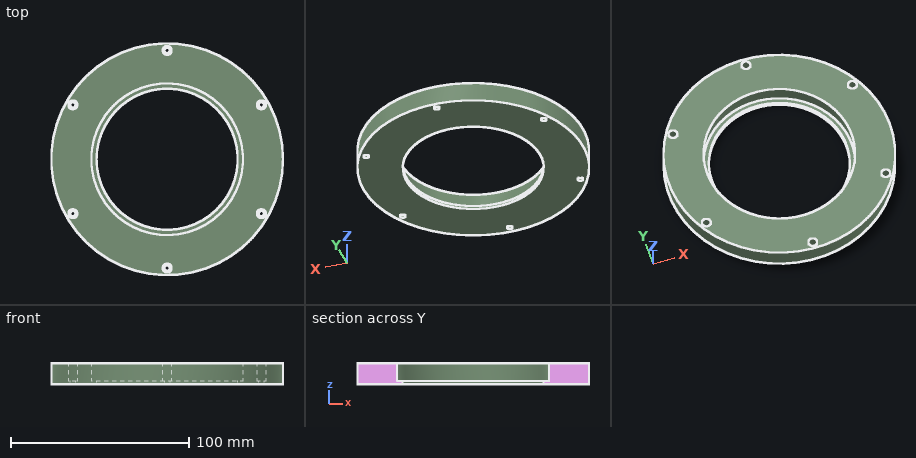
import cadquery as cq

outer_diameter = 130.0
thickness = 12.0

bore_diameter = 85.0
lip_diameter = 79.0
lip_thickness = 2.0
bore_depth = thickness - lip_thickness

screw_count = 6
screw_circle_diameter = 122.0
screw_hole_diameter = 3.0
counterbore_diameter = 5.0
counterbore_depth = 10.0
first_screw_angle = 90.0


def make_ring():
    """Disc standing on Z = 0 with the stepped bore through its centre."""
    disc = cq.Workplane("XY").circle(outer_diameter / 2).extrude(thickness)
    return disc.faces(">Z").workplane().cboreHole(lip_diameter, bore_diameter, bore_depth)


def add_screw_holes(ring):
    """Cut evenly spaced through holes, counterbored from the top face."""
    return (
        ring.faces(">Z")
        .workplane(origin=(0, 0, thickness))
        .polarArray(screw_circle_diameter / 2, first_screw_angle, 360, screw_count)
        .cboreHole(screw_hole_diameter, counterbore_diameter, counterbore_depth)
    )


result = add_screw_holes(make_ring())